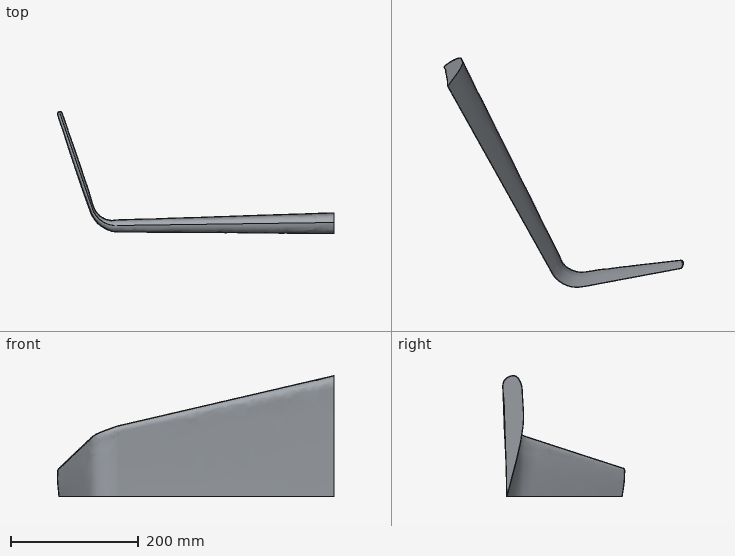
import cadquery as cq
import math

WING_SPAN = 340.0
BEND_RADIUS = 45.0
BEND_ANGLE = 72.0
WINGLET_LENGTH = 157.7
BEND_LENGTH = BEND_RADIUS * math.radians(BEND_ANGLE)

ROOT_CHORD = 190.2
BEND_CHORD = 111.0
TIP_CHORD = 45.0

WING_LEAN = 3.4
WINGLET_LEAN = 2.4

AIRFOIL = [
    (0.96, -0.011, 0.063),
    (0.82, 0.005, 0.078),
    (0.70, 0.018, 0.080),
    (0.57, 0.025, 0.075),
    (0.30, 0.020, 0.043),
]

TRAILING_HALF_THICKNESS = 0.001

WINGLET_START_THICKNESS = 0.47

BEND_STEPS = 4
WINGLET_STEPS = 8


def section_plane(distance):
    """Plane across the trailing edge path: local y runs up the chord, local x to the inside."""
    in_bend = min(max(distance - WING_SPAN, 0.0), BEND_LENGTH)
    along_wing = min(distance, WING_SPAN)
    along_winglet = max(distance - WING_SPAN - BEND_LENGTH, 0.0)
    turn = in_bend / BEND_RADIUS
    x = -along_wing - BEND_RADIUS * math.sin(turn) - along_winglet * math.cos(turn)
    y = BEND_RADIUS * (1 - math.cos(turn)) + along_winglet * math.sin(turn)
    plane = cq.Plane(
        origin=(x, y, 0),
        xDir=(math.sin(turn), math.cos(turn), 0),
        normal=(math.cos(turn), -math.sin(turn), 0),
    )
    lean = WING_LEAN + in_bend / BEND_LENGTH * (WINGLET_LEAN - WING_LEAN)
    return plane.rotated((0, 0, -lean))


def side_points(chord, side, camber_factor, thickness_factor):
    """Points on one face of the airfoil, from the leading edge to the trailing edge."""
    points = [(0, chord)]
    for height, camber, half in AIRFOIL:
        offset = camber_factor * camber + side * thickness_factor * half
        points.append((chord * offset, chord * height))
    points.append((side * chord * TRAILING_HALF_THICKNESS, 0))
    return points


def trailing_direction(points):
    """Unit vector from the last station of a face to the trailing edge."""
    run = points[-1][0] - points[-2][0]
    drop = points[-1][1] - points[-2][1]
    length = math.hypot(run, drop)
    return (run / length, drop / length)


def draw_outer_face(sketch, chord, camber_factor, thickness_factor):
    """From the leading edge to the trailing edge, square to the chord line at the top."""
    points = side_points(chord, -1, camber_factor, thickness_factor)
    ends = [(-1, 0), trailing_direction(points)]
    sketch = sketch.moveTo(*points[0])
    return sketch.spline(points[1:], tangents=ends, includeCurrent=True, scale=False)


def draw_inner_face(sketch, chord, camber_factor, thickness_factor):
    """From the trailing edge to the leading edge, square to the chord line at the top."""
    points = side_points(chord, 1, camber_factor, thickness_factor)
    run, drop = trailing_direction(points)
    ends = [(-run, -drop), (-1, 0)]
    sketch = sketch.lineTo(*points[-1])
    return sketch.spline(points[-2::-1], tangents=ends, includeCurrent=True, scale=False)


def section(distance, chord, camber_factor, thickness_factor):
    """Closed airfoil wire at a distance along the trailing edge."""
    sketch = cq.Workplane(section_plane(distance))
    sketch = draw_outer_face(sketch, chord, camber_factor, thickness_factor)
    sketch = draw_inner_face(sketch, chord, camber_factor, thickness_factor)
    return sketch.wire().val()


def tapered_chord(distance):
    """Chord between the start of the bend and the tip, tapering evenly along the path."""
    share = (distance - WING_SPAN) / (BEND_LENGTH + WINGLET_LENGTH)
    return BEND_CHORD + share * (TIP_CHORD - BEND_CHORD)


def make_wing():
    """The straight wing, tapering from the root to the start of the bend."""
    wires = [section(0, ROOT_CHORD, 1, 1), section(WING_SPAN, BEND_CHORD, 1, 1)]
    return cq.Solid.makeLoft(wires, True)


def bend_section(share):
    """Section inside the bend, where the camber fades out and the airfoil slims down."""
    distance = WING_SPAN + BEND_LENGTH * share
    thickness_factor = 1 + share * (WINGLET_START_THICKNESS - 1)
    return section(distance, tapered_chord(distance), 1 - share, thickness_factor)


def winglet_section(share):
    """Section of the straight winglet, between the end of the bend and the tip."""
    distance = WING_SPAN + BEND_LENGTH + WINGLET_LENGTH * share
    thickness_factor = WINGLET_START_THICKNESS + share * (1 - WINGLET_START_THICKNESS)
    return section(distance, tapered_chord(distance), 0, thickness_factor)


def make_bent_winglet():
    """The bend and the winglet in one smooth loft."""
    wires = [bend_section(step / BEND_STEPS) for step in range(BEND_STEPS)]
    wires += [winglet_section(step / WINGLET_STEPS) for step in range(WINGLET_STEPS + 1)]
    return cq.Solid.makeLoft(wires)


def make_tip_cap():
    """Half of the tip airfoil turned about its chord line."""
    plane = section_plane(WING_SPAN + BEND_LENGTH + WINGLET_LENGTH)
    half = draw_inner_face(cq.Workplane(plane), TIP_CHORD, 0, 1).close()
    return half.revolve(180, (0, 0), (0, 1)).val()


result = cq.Workplane(make_wing())
for piece in (make_bent_winglet(), make_tip_cap()):
    result = result.union(cq.Workplane(piece))